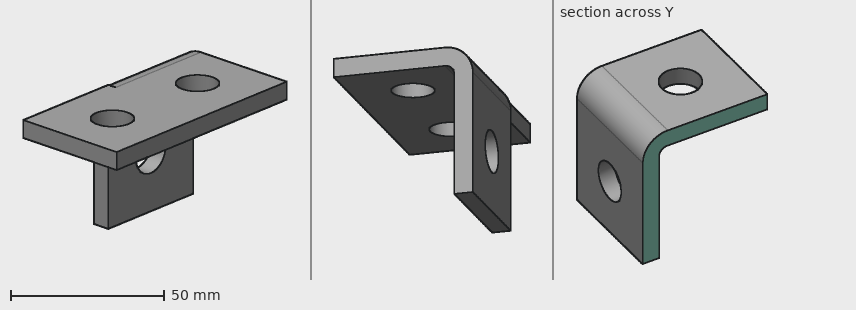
import cadquery as cq

thickness = 6.35
module = 41.275
bend_outer_radius = 9.525
outer_height = 50.8
hole_diameter = 14.2875

bend_inner_radius = bend_outer_radius - thickness
plate_length = 2 * module
outer_width = module + thickness
hole_inset = module / 2
leg_start_y = plate_length - module


def bent_leg():
    """Hanging leg and the bend joining it to the plate, along the rear half in Y."""
    outer_block = (
        cq.Workplane("XY")
        .box(outer_width, module, outer_height, centered=False)
        .edges("|Y and <X and >Z")
        .fillet(bend_outer_radius)
    )
    inner_space = (
        cq.Workplane("XY")
        .box(module, module, outer_height - thickness, centered=False)
        .edges("|Y and <X and >Z")
        .fillet(bend_inner_radius)
        .translate((thickness, 0, 0))
    )
    return outer_block.cut(inner_space).translate((0, leg_start_y, 0))


def plate_extension():
    """Front half of the top plate, beyond the end of the bend."""
    return (
        cq.Workplane("XY")
        .box(module, leg_start_y, thickness, centered=False)
        .translate((thickness, 0, outer_height - thickness))
    )


def plate_holes():
    """Two vertical holes, one centred in each half of the top plate."""
    hole_x = outer_width - hole_inset
    centres = [(hole_x, hole_inset), (hole_x, plate_length - hole_inset)]
    return (
        cq.Workplane("XY")
        .workplane(offset=outer_height - thickness)
        .pushPoints(centres)
        .circle(hole_diameter / 2)
        .extrude(thickness)
    )


def leg_hole():
    """Horizontal hole through the hanging leg."""
    return (
        cq.Workplane("YZ")
        .center(plate_length - hole_inset, hole_inset)
        .circle(hole_diameter / 2)
        .extrude(thickness)
    )


result = bent_leg().union(plate_extension()).cut(plate_holes()).cut(leg_hole())